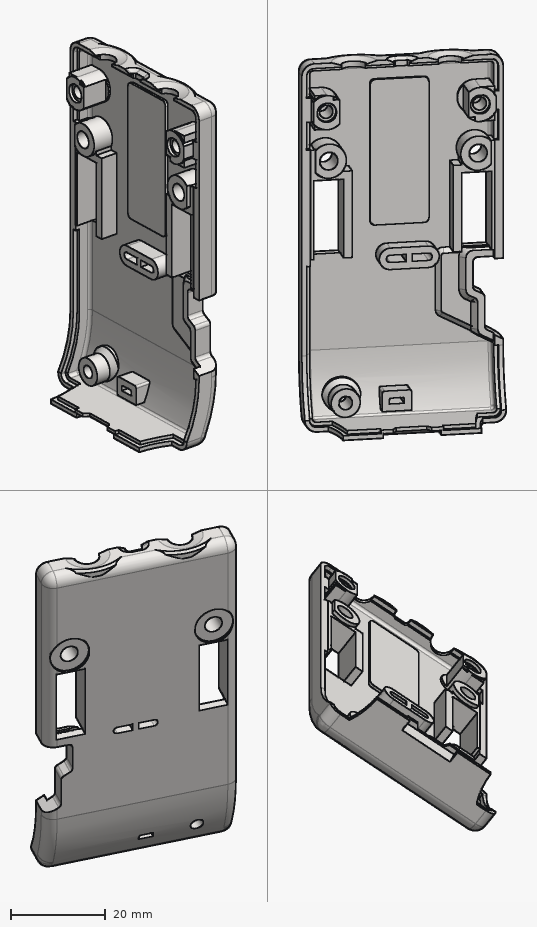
import cadquery as cq
import math


LENGTH = 79.8
WIDTH = 43.25
RIM_DEPTH = 6.0
WALL = 1.8
FLOOR = 2.1
CORNER_R = 2.6
FLOOR_FILLET = 0.7
HALF_W = WIDTH / 2
INNER_X = HALF_W - WALL
TOP_INNER_Z = LENGTH - WALL

BEND_Z = 15.95
BEND_END_Z = CORNER_R
RIM_BEND_R = 28.5
BEND_CENTRE_DEPTH = RIM_DEPTH + RIM_BEND_R
TRAY_MAX_DEPTH = 11.2

SEAT_SKIN = 1.0
SEAT_DEPTH = 1.0
SEAT_FLOOR = RIM_DEPTH - SEAT_DEPTH
SEAT_X = HALF_W - SEAT_SKIN
LEFT_SEAT_END_Z = 35.4
SEAT_BREAK_Z = 61.0

TONGUE_DEPTH = 16.7
TONGUE_ROOT_DEPTH = 7.2
TONGUE_ROOT_HALF = 16.6
TONGUE_END_HALF = 14.85
TONGUE_MID_HALF = 15.4
TONGUE_MID_DEPTH = 12.7
TONGUE_TAB_HALF = 6.7
NOTCH_DEPTH = 1.2
NOTCH_END_HALF = 4.15
NOTCH_ROOT_HALF = 3.3
THUMB_HALF = 6.2
THUMB_RUN = 1.5

WINDOW_IN_X = 12.7
WINDOW_OUT_X = 19.1
WINDOW_LOW_Z = 36.95
WINDOW_TOP_Z = 54.2
RIB_IN_X = 10.85
RIB_TOP_Z = 55.9
FRAME_DEPTH = 6.15

BOSS_R = 3.75
LOCATOR_Z = 69.7
LOCATOR_DEPTH = 8.5
LOCATOR_FOOT_DEPTH = 2.55
LOCATOR_BORE_R = 1.4
LOCATOR_MOUTH_R = 2.1
LOCATOR_MOUTH_DEPTH = 0.8
LOCATOR_NOTCH = 1.35
LOCATOR_NOTCH_Z = 2.7
LOCATOR_NOTCH_DEPTH = 0.5
LOCATOR_TIE_DEPTH = 8.1
LOCATOR_OUT_X = 19.6
LOCATOR_TIE_X = 19.3
LOCATORS = (
    (-1, 16.75, 14.0, 1, 2.6),
    (1, 16.2, 13.7, -1, 2.1),
)
SCREW_X = 16.0
SCREW_Z = 58.6
SCREW_DEPTH = 7.0
SCREW_BORE_R = 1.9
SCREW_OUT_X = 18.8
SCREW_HEAD_R = 4.3
SCREW_HEAD_DEPTH = 0.55

LOW_BOSS_X = -12.7
LOW_BOSS_Z = 5.75
LOW_BOSS_R = 3.1
LOW_BOSS_DEPTH = 8.4
LOW_BOSS_BORE_R = 1.4
LOW_BASE_R = 4.2
LOW_BASE_DEPTH = 3.5
LOW_CONE_DEPTH = 4.95

LABEL_HALF = 6.3
LABEL_LOW_Z = 42.8
LABEL_TOP_Z = 74.7
LABEL_R = 1.0
LABEL_RISE = 0.6

SLOT_BOSS_X = 1.4
SLOT_BOSS_Z = 36.15
SLOT_BOSS_LENGTH = 12.85
SLOT_BOSS_HEIGHT = 4.7
SLOT_LENGTH = 9.8
SLOT_HEIGHT = 1.6
SLOT_BRIDGE = 1.35

BLOCK_X = (-4.55, 1.75)
BLOCK_Z = (3.0, 7.5)
BLOCK_DEPTH = 7.0
BLOCK_R = 0.5
BLOCK_SLOT_X = (-3.0, 0.15)
BLOCK_SLOT_Z = (4.6, 5.9)
BLOCK_SLOT_R = 0.4

CUTOUT_TOP_Z = 34.95
CUTOUT_POINTS = (
    (HALF_W + 4, CUTOUT_TOP_Z),
    (15.5, CUTOUT_TOP_Z),
    (15.5, 27.9),
    (18.0, 26.65),
    (18.0, 19.15),
    (HALF_W, 17.2),
    (HALF_W + 4, 15.2),
)
CUTOUT_R = 1.0
CUTOUT_WALL = 1.5
CUTOUT_WALL_DEPTH = 4.15
CUTOUT_SKIRT = 1.3
STEP_POINTS = (
    (7.8, WINDOW_LOW_Z),
    (7.8, 22.35),
    (INNER_X, 15.95),
    (HALF_W + 4, 15.95),
    (HALF_W + 4, WINDOW_LOW_Z),
)
STEP_R = 1.6
STEP_RISE = 0.8
STEP_RUN = 1.1

PORT_X = 10.4
PORT_R = 2.7
PORT_MOUTH_R = 4.9
PORT_MOUTH_DEEP = 0.6
HUMP_X = 10.0
HUMP_R = 11.2
HUMP_CENTRE_DEPTH = HUMP_R + 0.1
HUMP_EDGE = 0.55
POCKET_MOUTH = ((3.3, 5.5), (2.55, 4.1), (1.3, 3.4))
POCKET_MOUTH_DEEP = 0.6
POCKET_THROAT = ((1.8, 5.5), (1.7, 4.95), (1.3, 4.6))


def front_plane(depth):
    """Plane facing the front at the given depth; its local axes are world X and Z."""
    return cq.Workplane("XZ", origin=(0, -depth, 0))


def box(x_range, depth_range, z_range):
    """Block between two X, two depth and two Z values, each pair in any order."""
    x0, x1 = sorted(x_range)
    d0, d1 = sorted(depth_range)
    z0, z1 = sorted(z_range)
    block = cq.Workplane("XY").box(x1 - x0, d1 - d0, z1 - z0, centered=False)
    return block.translate((x0, -d1, z0))


def disc(x, z, radius, depth_range):
    """Cylinder along Y."""
    d0, d1 = depth_range
    return front_plane(d0).center(x, z).circle(radius).extrude(d1 - d0)


def stadium(x, z, length, height, depth_range):
    """Round-ended bar along Y."""
    d0, d1 = depth_range
    return front_plane(d0).center(x, z).slot2D(length, height).extrude(d1 - d0)


def rounded_plate(inset):
    """Rounded rectangle, set in from the outside of the tray, at full depth."""
    block = box((inset - HALF_W, HALF_W - inset), (0, TRAY_MAX_DEPTH), (inset, LENGTH - inset))
    return block.edges("|Y").fillet(CORNER_R - inset)


def bend_depth(depth, z):
    """Depth, at height z, of the concentric arc that starts at `depth`."""
    radius = BEND_CENTRE_DEPTH - depth
    return BEND_CENTRE_DEPTH - math.sqrt(radius**2 - (BEND_Z - z) ** 2)


def space_behind(depth, bend_end_z):
    """Everything behind the surface that is flat at `depth` and bends forward at the lower end."""
    mid_z = (BEND_Z + bend_end_z) / 2
    end_depth = bend_depth(depth, bend_end_z)
    margin = 0.8
    return (
        cq.Workplane("YZ", origin=(-WIDTH, 0, 0))
        .moveTo(margin, LENGTH + margin)
        .lineTo(-depth, LENGTH + margin)
        .lineTo(-depth, BEND_Z)
        .threePointArc((-bend_depth(depth, mid_z), mid_z), (-end_depth, bend_end_z))
        .lineTo(-end_depth, -margin)
        .lineTo(margin, -margin)
        .close()
        .extrude(2 * WIDTH)
    )


def round_back_edges(body, radius):
    """Fillet the loop of edges around the back of a plate."""
    back_zone = cq.selectors.BoxSelector((-WIDTH, -RIM_DEPTH, -0.8), (WIDTH, 0.8, LENGTH + 0.8))
    return body.edges("not |Y").edges(back_zone).fillet(radius)


def make_envelope():
    """Solid outer shape of the tray, up to the rim."""
    blank = round_back_edges(rounded_plate(0).cut(space_behind(0, 0)), CORNER_R)
    humps = cq.Workplane("XY")
    for side in (-1, 1):
        humps = humps.add(make_hump(side * HUMP_X))
    blank = blank.union(humps.combine())
    return blank.intersect(space_behind(RIM_DEPTH, BEND_END_Z))


def make_hump(x):
    """Arched thickening of the back edge behind a cable port."""
    arch = (
        cq.Workplane("XY", origin=(x, -HUMP_CENTRE_DEPTH, TOP_INNER_Z))
        .circle(HUMP_R)
        .extrude(WALL)
        .faces(">Z")
        .edges()
        .chamfer(HUMP_EDGE)
    )
    return arch.intersect(box((x - HUMP_R, x + HUMP_R), (0, RIM_DEPTH), (TOP_INNER_Z, LENGTH)))


def make_cavity():
    """Hollow of the tray, with a fillet between the floor and the walls."""
    return round_back_edges(rounded_plate(WALL).cut(space_behind(FLOOR, 0)), FLOOR_FILLET)


def make_seat():
    """Step cut into the inner half of the rim, interrupted along both sides."""
    seat = rounded_plate(SEAT_SKIN).cut(space_behind(SEAT_FLOOR, BEND_END_Z))
    all_depths = (0, TRAY_MAX_DEPTH)
    seat = seat.cut(box((-HALF_W, 0), all_depths, (LEFT_SEAT_END_Z, SEAT_BREAK_Z)))
    seat = seat.cut(box((0, HALF_W), all_depths, (BEND_Z, SEAT_BREAK_Z)))
    for side, _, _, _, pad_half in LOCATORS:
        seat = seat.cut(box((0, side * HALF_W), all_depths, (LOCATOR_Z - pad_half, LOCATOR_Z + pad_half)))
    return seat


def tongue_layer(inset, z0, z1):
    """One layer of the tongue, its edge set in from the full outline."""
    root = TONGUE_ROOT_HALF - inset
    middle = TONGUE_MID_HALF - inset
    end = TONGUE_END_HALF - inset
    end_depth = TONGUE_DEPTH - inset
    root_end_depth = bend_depth(RIM_DEPTH, BEND_END_Z) - inset
    return (
        cq.Workplane("XY", origin=(0, 0, z0))
        .moveTo(-root, -TONGUE_ROOT_DEPTH)
        .lineTo(-root, -root_end_depth)
        .threePointArc((-middle, -TONGUE_MID_DEPTH), (-end, -end_depth))
        .lineTo(end, -end_depth)
        .threePointArc((middle, -TONGUE_MID_DEPTH), (root, -root_end_depth))
        .lineTo(root, -TONGUE_ROOT_DEPTH)
        .close()
        .extrude(z1 - z0)
    )


def make_tongue():
    """Stepped tongue with a notch in its end and a sloped thumb relief underneath."""
    tongue = tongue_layer(0, 0, SEAT_SKIN).union(tongue_layer(SEAT_SKIN, SEAT_SKIN, WALL))
    tab_depths = (TONGUE_ROOT_DEPTH, TONGUE_DEPTH)
    tongue = tongue.union(box((-TONGUE_TAB_HALF, TONGUE_TAB_HALF), tab_depths, (0, WALL)))
    notch_floor = TONGUE_DEPTH - NOTCH_DEPTH
    notch = (
        cq.Workplane("XY")
        .polyline([
            (-NOTCH_END_HALF, -TONGUE_DEPTH),
            (-NOTCH_ROOT_HALF, -notch_floor),
            (NOTCH_ROOT_HALF, -notch_floor),
            (NOTCH_END_HALF, -TONGUE_DEPTH),
        ])
        .close()
        .extrude(WALL)
    )
    thumb_relief = (
        cq.Workplane("YZ", origin=(-THUMB_HALF, 0, 0))
        .polyline([
            (-TONGUE_DEPTH, 0),
            (THUMB_RUN - notch_floor, 0),
            (-notch_floor, SEAT_SKIN),
            (-TONGUE_DEPTH, SEAT_SKIN),
        ])
        .close()
        .extrude(2 * THUMB_HALF)
    )
    return tongue.cut(notch).cut(thumb_relief)


def make_window_frame(side):
    """Frame around a window: outer strip, links to the screw boss, and the inner rib."""
    strip = box((side * WINDOW_OUT_X, side * INNER_X), (FLOOR, FRAME_DEPTH), (WINDOW_LOW_Z, SEAT_BREAK_Z))
    bridge = box((side * WINDOW_IN_X, side * INNER_X), (FLOOR, FRAME_DEPTH), (WINDOW_TOP_Z, SCREW_Z))
    tie = box((side * SCREW_X, side * INNER_X), (FLOOR, FRAME_DEPTH), (SCREW_Z, SEAT_BREAK_Z))
    rib = box((side * RIB_IN_X, side * WINDOW_IN_X), (FLOOR, FRAME_DEPTH), (WINDOW_LOW_Z, RIB_TOP_Z))
    return strip.union(bridge).union(tie).union(rib)


def make_window(side):
    return box((side * WINDOW_IN_X, side * WINDOW_OUT_X), (0, FRAME_DEPTH), (WINDOW_LOW_Z, WINDOW_TOP_Z))


def make_screw_boss(side):
    """Round boss, trimmed flat beside the side wall above the window frame."""
    boss = disc(side * SCREW_X, SCREW_Z, BOSS_R, (FLOOR, SCREW_DEPTH))
    overhang = box((side * SCREW_OUT_X, side * HALF_W), (FRAME_DEPTH, SCREW_DEPTH), (0, LENGTH))
    return boss.cut(overhang)


def make_screw_bore(side):
    """Through bore with a shallow head recess in the back."""
    bore = disc(side * SCREW_X, SCREW_Z, SCREW_BORE_R, (0, SCREW_DEPTH))
    return bore.union(disc(side * SCREW_X, SCREW_Z, SCREW_HEAD_R, (0, SCREW_HEAD_DEPTH)))


def make_locator(side, x, flat_x, notch_dir, pad_half):
    """Blind-bored boss with trimmed sides, tied to the side wall."""
    boss = disc(side * x, LOCATOR_Z, BOSS_R, (FLOOR, LOCATOR_DEPTH))
    shank = (LOCATOR_FOOT_DEPTH, LOCATOR_DEPTH)
    boss = boss.cut(box((0, side * flat_x), shank, (0, LENGTH)))
    notch_z = LOCATOR_Z + notch_dir * LOCATOR_NOTCH_Z
    notch_depths = (LOCATOR_DEPTH - LOCATOR_NOTCH_DEPTH, LOCATOR_DEPTH)
    notch_x = side * (flat_x + LOCATOR_NOTCH)
    boss = boss.cut(box((0, notch_x), notch_depths, (notch_z, notch_z + notch_dir * BOSS_R)))
    boss = boss.cut(box((side * LOCATOR_OUT_X, side * HALF_W), (RIM_DEPTH, LOCATOR_DEPTH), (0, LENGTH)))
    tie_z = (LOCATOR_Z - BOSS_R, LOCATOR_Z + BOSS_R)
    tie = box((side * x, side * LOCATOR_TIE_X), (FLOOR, LOCATOR_TIE_DEPTH), tie_z)
    pad = box((side * x, side * SEAT_X), (FLOOR, RIM_DEPTH), (LOCATOR_Z - pad_half, LOCATOR_Z + pad_half))
    bore = disc(side * x, LOCATOR_Z, LOCATOR_BORE_R, (FLOOR, LOCATOR_DEPTH))
    mouth = disc(side * x, LOCATOR_Z, LOCATOR_MOUTH_R, (LOCATOR_DEPTH - LOCATOR_MOUTH_DEPTH, LOCATOR_DEPTH))
    return boss.union(tie).union(pad).cut(bore).cut(mouth)


def make_low_boss():
    """Screw boss rising from the curved floor on a wider conical base."""
    profile = [
        (0, 0),
        (LOW_BASE_R, 0),
        (LOW_BASE_R, -LOW_BASE_DEPTH),
        (LOW_BOSS_R, -LOW_CONE_DEPTH),
        (LOW_BOSS_R, -LOW_BOSS_DEPTH),
        (0, -LOW_BOSS_DEPTH),
    ]
    boss = cq.Workplane("XY").polyline(profile).close().revolve(360, (0, 0), (0, 1))
    return boss.translate((LOW_BOSS_X, 0, LOW_BOSS_Z))


def make_block():
    """Small block on the curved floor."""
    return box(BLOCK_X, (FLOOR, BLOCK_DEPTH), BLOCK_Z).edges("|Y and >Z").fillet(BLOCK_R)


def make_block_slot():
    return box(BLOCK_SLOT_X, (0, BLOCK_DEPTH), BLOCK_SLOT_Z).edges("|Y and >Z").fillet(BLOCK_SLOT_R)


def make_label():
    """Raised rounded plate on the floor."""
    label = box((-LABEL_HALF, LABEL_HALF), (FLOOR, FLOOR + LABEL_RISE), (LABEL_LOW_Z, LABEL_TOP_Z))
    return label.edges("|Y").fillet(LABEL_R)


def make_slot_boss():
    return stadium(SLOT_BOSS_X, SLOT_BOSS_Z, SLOT_BOSS_LENGTH, SLOT_BOSS_HEIGHT, (FLOOR, RIM_DEPTH))


def make_slots():
    """Two through slots: one long slot split by a bridge."""
    slot = stadium(SLOT_BOSS_X, SLOT_BOSS_Z, SLOT_LENGTH, SLOT_HEIGHT, (0, RIM_DEPTH))
    bridge_x = (SLOT_BOSS_X - SLOT_BRIDGE / 2, SLOT_BOSS_X + SLOT_BRIDGE / 2)
    return slot.cut(box(bridge_x, (0, RIM_DEPTH), (0, LENGTH)))


def make_cutout():
    """Open notch through the right-hand side of the tray."""
    return front_plane(0).polyline(CUTOUT_POINTS).close().extrude(TRAY_MAX_DEPTH).edges("|Y").fillet(CUTOUT_R)


def make_cutout_wall():
    """Low wall following the notch, standing on a raised step with a sloped skirt at its foot."""
    outline = front_plane(0).polyline(CUTOUT_POINTS).close()
    wall = outline.offset2D(CUTOUT_WALL).extrude(CUTOUT_WALL_DEPTH)
    foot = front_plane(FLOOR + STEP_RISE).polyline(CUTOUT_POINTS).close()
    skirt = foot.offset2D(CUTOUT_WALL + CUTOUT_SKIRT).extrude(CUTOUT_SKIRT, taper=45)
    corners = cq.selectors.BoxSelector((0, 0, -0.8), (STEP_POINTS[1][0] + 0.8, WINDOW_LOW_Z + 0.8, 0.8))
    step_outline = cq.Sketch().polygon([*STEP_POINTS, STEP_POINTS[0]]).vertices(corners).fillet(STEP_R)
    skirt = skirt.intersect(front_plane(0).placeSketch(step_outline).extrude(RIM_DEPTH))
    slope = math.degrees(math.atan(STEP_RUN / STEP_RISE))
    step = front_plane(FLOOR).placeSketch(step_outline).extrude(STEP_RISE, taper=slope)
    inside = box((0, INNER_X), (0, RIM_DEPTH), (0, WINDOW_LOW_Z))
    return wall.union(step).union(skirt).intersect(inside)


def make_port(side):
    """Half-round cable port with a shallow conical mouth, open at the rim."""
    profile = [
        (0, 0),
        (PORT_MOUTH_R, 0),
        (PORT_R, -PORT_MOUTH_DEEP),
        (PORT_R, -WALL),
        (0, -WALL),
    ]
    port = cq.Workplane("XZ").polyline(profile).close().revolve(360, (0, 0), (0, 1))
    return port.translate((side * PORT_X, -RIM_DEPTH, LENGTH))


def pocket_outline(plane, corners):
    """Arch, open at the rim, with a flat crest towards the back."""
    (low_half, low_depth), (shoulder_half, shoulder_depth), (crest_half, crest_depth) = corners
    return (
        plane.moveTo(-low_half, -RIM_DEPTH)
        .lineTo(-low_half, -low_depth)
        .threePointArc((-shoulder_half, -shoulder_depth), (-crest_half, -crest_depth))
        .lineTo(crest_half, -crest_depth)
        .threePointArc((shoulder_half, -shoulder_depth), (low_half, -low_depth))
        .lineTo(low_half, -RIM_DEPTH)
        .close()
    )


def make_light_pocket():
    """Flared opening in the middle of the top wall."""
    mouth = pocket_outline(cq.Workplane("XY", origin=(0, 0, LENGTH)), POCKET_MOUTH)
    flare = pocket_outline(mouth.workplane(offset=-POCKET_MOUTH_DEEP), POCKET_THROAT).loft(ruled=True)
    throat = pocket_outline(cq.Workplane("XY", origin=(0, 0, TOP_INNER_Z)), POCKET_THROAT).extrude(WALL)
    return flare.union(throat)


envelope = make_envelope()
cavity = make_cavity()
shell = envelope.cut(cavity).cut(make_seat())

shell = shell.union(make_cutout_wall().intersect(envelope))
for side in (-1, 1):
    shell = shell.cut(make_port(side))
    shell = shell.union(make_window_frame(side)).union(make_screw_boss(side))
shell = shell.cut(make_light_pocket())
for locator in LOCATORS:
    shell = shell.union(make_locator(*locator))

floor_features = make_low_boss().union(make_block()).cut(space_behind(FLOOR / 2, 0))
shell = shell.union(floor_features).union(make_label()).union(make_slot_boss()).union(make_tongue())

for side in (-1, 1):
    shell = shell.cut(make_window(side)).cut(make_screw_bore(side))
shell = shell.cut(make_slots()).cut(make_block_slot()).cut(make_cutout())
result = shell.cut(disc(LOW_BOSS_X, LOW_BOSS_Z, LOW_BOSS_BORE_R, (0, LOW_BOSS_DEPTH)))